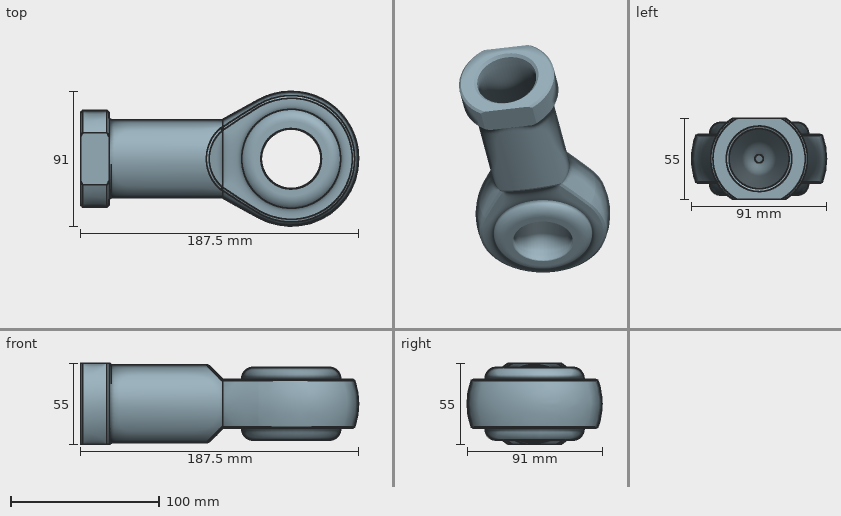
import cadquery as cq
import math

total_length = 187.5

head_width = 91.0
head_radius = head_width / 2
head_thickness = 33.2
head_x = total_length - head_radius
head_edge_chamfer = 1.1
slope_angle = 45.0

shank_radius = 26.5
shank_end_x = 95.8

collar_radius = 32.6
collar_length = 19.3
collar_chamfer = 1.5
collar_fillet = 1.5
across_flats = 55.0

ring_radius = 33.4
ring_height = 49.1
ring_fillet = 7.9
bore_radius = 20.0
bore_chamfer = 0.4

hole_radius = 20.2
hole_depth = 65.0
hole_mouth_chamfer = 1.9
hole_tip_radius = 2.8
drill_point_angle = 118.0


def make_turned_body():
    """Collar, shank, tangent cone and spherical head, turned about the X axis."""
    run = head_x - shank_end_x
    centre_distance = math.hypot(run, shank_radius)
    cone_angle = math.asin(head_radius / centre_distance) - math.atan2(shank_radius, run)
    tangent_x = head_x - head_radius * math.sin(cone_angle)
    tangent_radius = head_radius * math.cos(cone_angle)
    arc_angle = (math.pi / 2 - cone_angle) / 2
    arc_mid = (head_x + head_radius * math.sin(arc_angle), head_radius * math.cos(arc_angle))

    fillet_drop = collar_fillet * (1 - math.sqrt(0.5))
    profile = (
        cq.Workplane("XY")
        .moveTo(0, 0)
        .lineTo(0, collar_radius - collar_chamfer)
        .lineTo(collar_chamfer, collar_radius)
        .lineTo(collar_length - collar_chamfer, collar_radius)
        .lineTo(collar_length, collar_radius - collar_chamfer)
        .lineTo(collar_length, shank_radius + collar_fillet)
        .threePointArc(
            (collar_length + fillet_drop, shank_radius + fillet_drop),
            (collar_length + collar_fillet, shank_radius),
        )
        .lineTo(shank_end_x, shank_radius)
        .lineTo(tangent_x, tangent_radius)
        .threePointArc(arc_mid, (total_length, 0))
        .close()
    )
    return profile.revolve(360, (0, 0, 0), (1, 0, 0))


def make_side_cutter(side):
    """Block that trims one face of the head, with a sloped run-out into the shank."""
    face_z = head_thickness / 2
    top_z = 2 * head_radius
    slope_run = (top_z - face_z) / math.tan(math.radians(slope_angle))
    return (
        cq.Workplane("XZ")
        .moveTo(shank_end_x, side * face_z)
        .lineTo(2 * total_length, side * face_z)
        .lineTo(2 * total_length, side * top_z)
        .lineTo(shank_end_x - slope_run, side * top_z)
        .close()
        .extrude(2 * head_radius, both=True)
    )


def trim_head_faces(body):
    """Trim both faces of the head and chamfer the outline of each face and its slope."""
    for side in (1, -1):
        body = body.cut(make_side_cutter(side))
    slope_mid_z = (head_thickness / 2 + shank_radius) / 2
    slope_mid_run = (slope_mid_z - head_thickness / 2) / math.tan(math.radians(slope_angle))
    outlines = []
    for side in (1, -1):
        flat_point = (head_x, 0, side * head_thickness / 2)
        slope_point = (shank_end_x - slope_mid_run, 0, side * slope_mid_z)
        for point in (flat_point, slope_point):
            face = body.faces(cq.selectors.NearestToPointSelector(point))
            outlines += face.edges("not %LINE").vals()
    return body.newObject(outlines).chamfer(head_edge_chamfer)


def trim_wrench_flats(body):
    """Cut the two wrench flats, which also trim the fillet behind the collar."""
    flat_length = collar_length + collar_fillet
    for side in (1, -1):
        block = cq.Workplane("XY").box(
            flat_length, 2 * collar_radius, collar_radius, centered=(False, True, True)
        )
        body = body.cut(block.translate((0, 0, side * (across_flats + collar_radius) / 2)))
    return body


def make_ring():
    """Bearing ring with rounded outer edges."""
    return (
        cq.Workplane("XY")
        .center(head_x, 0)
        .circle(ring_radius)
        .extrude(ring_height / 2, both=True)
        .edges("%CIRCLE")
        .fillet(ring_fillet)
    )


def make_ring_bore():
    """Through bore with chamfered mouths, as one turned cutter."""
    end_z = ring_height / 2
    return (
        cq.Workplane("XZ")
        .center(head_x, 0)
        .moveTo(0, -end_z)
        .lineTo(bore_radius + bore_chamfer, -end_z)
        .lineTo(bore_radius, bore_chamfer - end_z)
        .lineTo(bore_radius, end_z - bore_chamfer)
        .lineTo(bore_radius + bore_chamfer, end_z)
        .lineTo(0, end_z)
        .close()
        .revolve(360, (0, 0, 0), (0, 1, 0))
    )


def make_shank_hole():
    """Blind hole with a countersunk mouth and a conical bottom, turned about X."""
    cone_length = (hole_radius - hole_tip_radius) / math.tan(math.radians(drill_point_angle / 2))
    return (
        cq.Workplane("XY")
        .moveTo(0, 0)
        .lineTo(0, hole_radius + hole_mouth_chamfer)
        .lineTo(hole_mouth_chamfer, hole_radius)
        .lineTo(hole_depth, hole_radius)
        .lineTo(hole_depth + cone_length, hole_tip_radius)
        .lineTo(hole_depth + cone_length, 0)
        .close()
        .revolve(360, (0, 0, 0), (1, 0, 0))
    )


rod_end = trim_wrench_flats(trim_head_faces(make_turned_body()))
result = rod_end.union(make_ring()).cut(make_ring_bore()).cut(make_shank_hole())